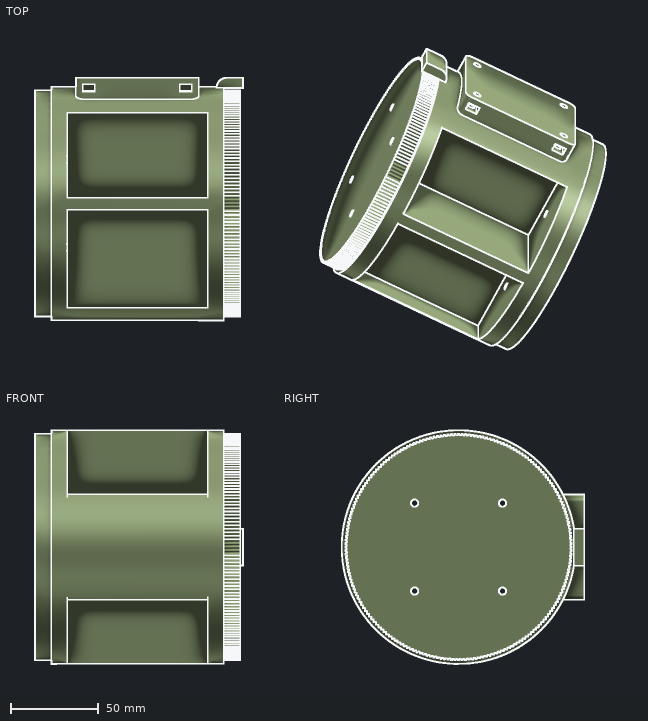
import cadquery as cq
import math

body_diameter = 133.09
body_length = 98.2
rim_diameter = 129.0
rim_length = 9.3
recess_diameter = 110.0
recess_depth = 5.0
knurl_length = 9.3
ridge_count = 200
ridge_height = 0.5

body_start = rim_length
body_end = body_start + body_length
drum_end = body_end + knurl_length
body_radius = body_diameter / 2
knurl_radius = rim_diameter / 2 - ridge_height

pocket_length = 80.0
pocket_end_wall = 9.0
divider_thickness = 6.8
front_pocket_width = 56.0
rear_pocket_width = 48.2
pocket_floor_z = 10.0
pocket_start = body_start + pocket_end_wall
middle_x = pocket_start + pocket_length / 2
rear_pocket_wall_y = divider_thickness / 2 + rear_pocket_width

axial_hole_diameter = 4.0
axial_hole_spacing = 50.0

plate_back_y = 71.6
plate_length = 70.0
plate_height = 60.0
plate_corner_radius = 4.0
plate_root_y = 55.0
slot_length = 6.8
slot_width = 4.2
slot_depth = 12.0
slot_centre_y = 65.7
slot_offset_x = plate_length / 2 - plate_corner_radius - slot_length / 2

plate_hole_diameter = 4.2
plate_hole_offset_z = 21.8

tab_start = 103.2
tab_end = 118.4
tab_bottom_y = 65.6
tab_width = 21.0


def cylinder_x(start, length, diameter):
    return cq.Workplane("YZ", origin=(start, 0, 0)).circle(diameter / 2).extrude(length)


def box_between(low, high):
    size = [b - a for a, b in zip(low, high)]
    return cq.Workplane("XY").box(*size, centered=False).translate(low)


def knurled_ring():
    """Ring whose rim alternates half-round ridges and half-round grooves."""
    half_pitch = math.pi / ridge_count

    def rim_point(radius, angle):
        return (radius * math.cos(angle), radius * math.sin(angle))

    outline = cq.Workplane("YZ", origin=(body_end, 0, 0))
    outline = outline.moveTo(*rim_point(knurl_radius, -half_pitch / 2))
    for step in range(2 * ridge_count):
        middle_angle = step * half_pitch
        height = ridge_height if step % 2 == 0 else -ridge_height
        outline = outline.threePointArc(
            rim_point(knurl_radius + height, middle_angle),
            rim_point(knurl_radius, middle_angle + half_pitch / 2),
        )
    return outline.close().extrude(knurl_length)


def drum():
    rim = cylinder_x(0, rim_length, rim_diameter)
    body = cylinder_x(body_start, body_length, body_diameter)
    recess = cylinder_x(0, recess_depth, recess_diameter)
    return rim.union(body).union(knurled_ring()).cut(recess)


def pockets():
    front_y = -divider_thickness / 2 - front_pocket_width
    spans = [(front_y, -divider_thickness / 2), (divider_thickness / 2, rear_pocket_wall_y)]
    cutters = cq.Workplane("XY")
    for low_y, high_y in spans:
        upper = box_between(
            (pocket_start, low_y, pocket_floor_z),
            (pocket_start + pocket_length, high_y, body_radius),
        )
        cutters = cutters.add(upper).add(upper.mirror("XY"))
    return cutters.combine()


def back_plate():
    block = box_between(
        (middle_x - plate_length / 2, plate_root_y, -plate_height / 2),
        (middle_x + plate_length / 2, plate_back_y, plate_height / 2),
    )
    plate = block.edges("|Y").fillet(plate_corner_radius)
    slot = cq.Workplane("XY").box(slot_length, slot_width, 2 * slot_depth)
    for direction in (-1, 1):
        slot_x = middle_x + direction * slot_offset_x
        for end in (-1, 1):
            plate = plate.cut(slot.translate((slot_x, slot_centre_y, end * plate_height / 2)))
    return plate


def locating_tab():
    """Block whose left end is a quarter round over its whole thickness."""
    round_radius = plate_back_y - tab_bottom_y
    round_centre_x = tab_start + round_radius
    round_offset = round_radius * math.sqrt(0.5)
    return (
        cq.Workplane("XY", origin=(0, 0, -tab_width / 2))
        .moveTo(tab_start, tab_bottom_y)
        .lineTo(tab_end, tab_bottom_y)
        .lineTo(tab_end, plate_back_y)
        .lineTo(round_centre_x, plate_back_y)
        .threePointArc(
            (round_centre_x - round_offset, tab_bottom_y + round_offset),
            (tab_start, tab_bottom_y),
        )
        .close()
        .extrude(tab_width)
    )


def axial_holes():
    return (
        cq.Workplane("YZ")
        .rect(axial_hole_spacing, axial_hole_spacing, forConstruction=True)
        .vertices()
        .circle(axial_hole_diameter / 2)
        .extrude(drum_end)
    )


def plate_holes():
    return (
        cq.Workplane("XZ", origin=(middle_x, plate_back_y, 0))
        .rect(2 * slot_offset_x, 2 * plate_hole_offset_z, forConstruction=True)
        .vertices()
        .circle(plate_hole_diameter / 2)
        .extrude(plate_back_y - rear_pocket_wall_y)
    )


result = drum().union(back_plate()).union(locating_tab())
result = result.cut(pockets()).cut(axial_holes()).cut(plate_holes())